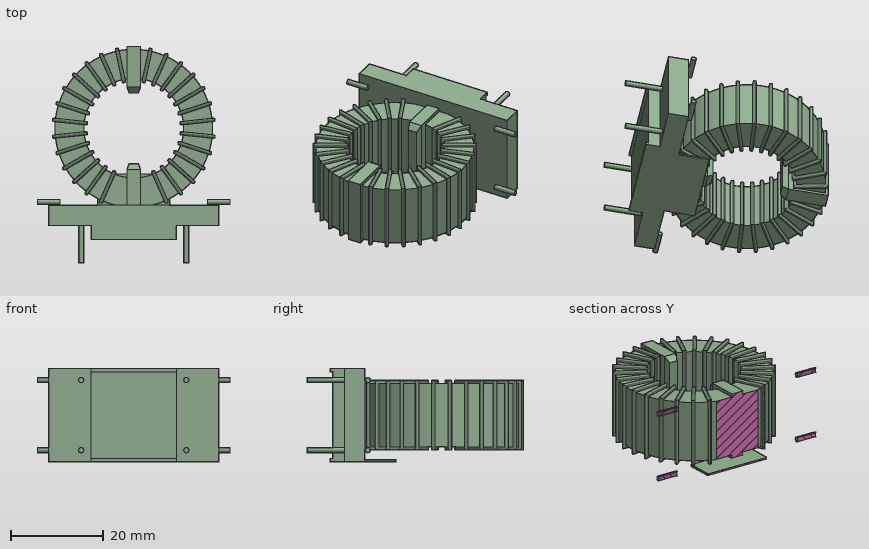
import cadquery as cq


OVERALL_LENGTH = 47.0

CORE_OUTER_RADIUS = 17.15
CORE_INNER_RADIUS = 10.8
CORE_HEIGHT = 13.8

TURN_THICKNESS = 0.75
TURN_EDGE_RADIUS = 0.3
TURN_RISE = 0.7
TURN_OUTER_RADIUS = 17.75
TURN_INNER_RADIUS = CORE_INNER_RADIUS - TURN_RISE
TURN_HEIGHT = CORE_HEIGHT + 2 * TURN_RISE
TURN_PITCH = 12
TURNS_PER_SIDE = 13

BAR_WIDTH = 3.0
BAR_OUTER_REACH = 17.75
BAR_INNER_REACH = 7.65
BAR_TAPER_LENGTH = 1.3
BAR_TAPER_SIDE = 0.45
BAR_TAPER_TOP = 1.17

BASE_WIDTH = 37.05
BASE_HEIGHT = 20.3
BASE_REAR_Y = -16.7
BASE_FRONT_Y = -21.15
PAD_WIDTH = 18.5
PAD_FRONT_Y = -23.7
LIP_FRONT_Y = -24.2
LIP_HEIGHT = 0.75

SHELF_WIDTH = 15.7
SHELF_REAR_Y = -9.9
SHELF_THICKNESS = 0.45

PIN_DIAMETER = 1.15
PIN_SPACING_X = 22.85
PIN_SPACING_Z = 15.22
PIN_TIP_Y = BAR_OUTER_REACH - OVERALL_LENGTH
LEAD_DIAMETER = 1.15
LEAD_CENTRE_Y = -16.02
LEAD_LENGTH = 5.0
LEAD_OUTER_X = 20.95


def box_between(width, y_rear, y_front, z_bottom, z_top):
    """Block centred in X that spans the given Y and Z ranges."""
    return (
        cq.Workplane("XY", origin=(0, (y_rear + y_front) / 2, z_bottom))
        .box(width, y_rear - y_front, z_top - z_bottom, centered=(True, True, False))
    )


def make_core():
    return (
        cq.Workplane("XY")
        .circle(CORE_OUTER_RADIUS)
        .circle(CORE_INNER_RADIUS)
        .extrude(CORE_HEIGHT / 2, both=True)
    )


def make_turn():
    """One turn on the +Y side of the core; the core fills the middle of the plate."""
    half_height = TURN_HEIGHT / 2
    plate = box_between(TURN_THICKNESS, TURN_OUTER_RADIUS, TURN_INNER_RADIUS, -half_height, half_height)
    return plate.faces("<X or >X").edges().fillet(TURN_EDGE_RADIUS)


def make_separator_bar():
    """Bar on the +Y side whose inner end tapers on all four sides."""
    taper_start = BAR_INNER_REACH + BAR_TAPER_LENGTH
    shank = box_between(BAR_WIDTH, BAR_OUTER_REACH, taper_start, -TURN_HEIGHT / 2, TURN_HEIGHT / 2)
    tapered_end = (
        shank.faces("<Y")
        .workplane(centerOption="CenterOfBoundBox")
        .rect(BAR_WIDTH, TURN_HEIGHT)
        .workplane(offset=BAR_TAPER_LENGTH)
        .rect(BAR_WIDTH - 2 * BAR_TAPER_SIDE, TURN_HEIGHT - 2 * BAR_TAPER_TOP)
        .loft(combine=False)
    )
    return shank.union(tapered_end)


def make_base():
    half_height = BASE_HEIGHT / 2
    plate = box_between(BASE_WIDTH, BASE_REAR_Y, BASE_FRONT_Y, -half_height, half_height)
    pad = box_between(PAD_WIDTH, BASE_FRONT_Y, PAD_FRONT_Y, -half_height, half_height)
    top_lip = box_between(PAD_WIDTH, PAD_FRONT_Y, LIP_FRONT_Y, half_height - LIP_HEIGHT, half_height)
    bottom_lip = top_lip.mirror("XY")
    shelf = box_between(SHELF_WIDTH, SHELF_REAR_Y, BASE_REAR_Y, -half_height, SHELF_THICKNESS - half_height)
    return plate.union(pad).union(top_lip).union(bottom_lip).union(shelf)


def make_pins():
    return (
        cq.Workplane("XZ", origin=(0, BASE_FRONT_Y, 0))
        .rarray(PIN_SPACING_X, PIN_SPACING_Z, 2, 2)
        .circle(PIN_DIAMETER / 2)
        .extrude(BASE_FRONT_Y - PIN_TIP_Y)
    )


def make_housing():
    """Base, core, turns, separator bars and pins as one solid."""
    housing = make_base().union(make_core()).union(make_pins())
    turn = make_turn()
    for side in (-1, 1):
        for index in range(1, TURNS_PER_SIDE + 1):
            angle = side * index * TURN_PITCH
            housing = housing.union(turn.rotate((0, 0, 0), (0, 0, 1), angle))
    bar = make_separator_bar()
    return housing.union(bar).union(bar.mirror("XZ"))


def make_lead(side, z):
    """Horizontal lead just behind the rear of the base; side is -1 or 1 along X."""
    return (
        cq.Workplane("YZ", origin=(side * LEAD_OUTER_X, LEAD_CENTRE_Y, z))
        .circle(LEAD_DIAMETER / 2)
        .extrude(-side * LEAD_LENGTH)
    )


housing = make_housing()
leads = [
    make_lead(side, z)
    for side in (-1, 1)
    for z in (-PIN_SPACING_Z / 2, PIN_SPACING_Z / 2)
]

result = cq.Compound.makeCompound([housing.solids().val(), *[lead.val() for lead in leads]])